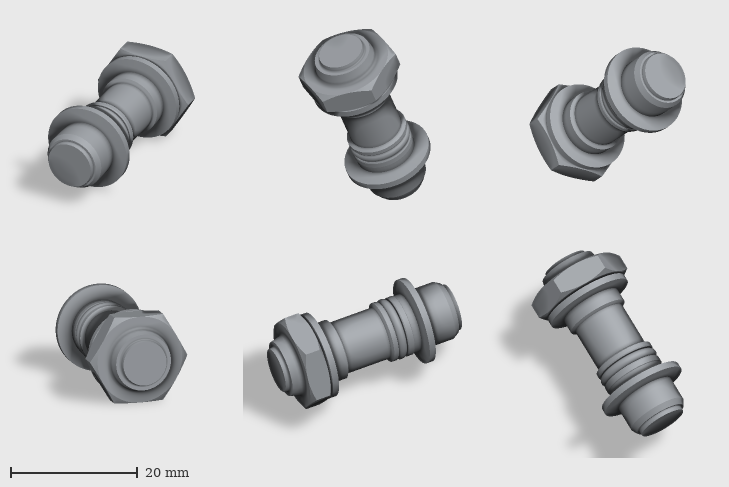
import cadquery as cq
import math


across_flats = 14.0
nut_bottom = 24.22
nut_top = 27.82
nut_chamfer_angle = 30.0

flange_radius = across_flats / 2
flange_rim_width = 1.05
tail_flange_bottom = 5.58
tail_flange_cone_height = 0.43
washer_cone_height = 0.37
washer_bottom = nut_bottom - flange_rim_width - 2 * washer_cone_height

tail_radius = 4.8
tail_nose_end_radius = 3.78
tail_nose_base_radius = 3.9
tail_nose_height = 0.73
tail_chamfer_width = 0.52
tail_chamfer_height = 0.9

collar_radius = 4.9
neck_radius = 4.27
neck_bottom = 12.6
neck_top = 19.9
neck_chamfer_height = 0.37
collar_bottom = 8.63
collar_step_height = 0.1

ring_radius = 5.0
ring_section_radius = 0.75
ring_center = 10.58
groove_width = 1.65
groove_radius = 3.57
groove_edge_width = 0.18
groove_edge_depth = 0.1
groove_bottom = ring_center - groove_width / 2
groove_top = ring_center + groove_width / 2

head_face = 30.5
head_step = 29.75
head_cone_radius = 4.55
head_cone_angle = 14.0
head_fillet = 0.5
head_nose_radius = 3.57
head_nose_angle = 11.0
head_nose_fillet = 0.25


def fillet_foot(top_radius, top, base, angle_degrees, fillet):
    """Start, middle and end of the arc joining a downward widening cone to a flat base."""
    angle = math.radians(angle_degrees)
    start_y = base + fillet * (1 - math.sin(angle))
    start_radius = top_radius + (top - start_y) * math.tan(angle)
    center_radius = start_radius + fillet * math.cos(angle)
    center_y = base + fillet
    middle_angle = math.pi / 4 + angle / 2
    middle = (
        center_radius - fillet * math.cos(middle_angle),
        center_y - fillet * math.sin(middle_angle),
    )
    return (start_radius, start_y), middle, (center_radius, base)


def revolve_about_y(outline):
    return outline.close().revolve(360, (0, 0, 0), (0, 1, 0))


def make_shank():
    groove_edge_radius = collar_radius - groove_edge_depth
    outline = cq.Workplane("XY").polyline([
        (0, 0),
        (tail_nose_end_radius, 0),
        (tail_nose_base_radius, tail_nose_height),
        (tail_radius - tail_chamfer_width, tail_nose_height),
        (tail_radius, tail_nose_height + tail_chamfer_height),
        (tail_radius, collar_bottom),
        (collar_radius, collar_bottom + collar_step_height),
        (collar_radius, groove_bottom - groove_edge_width),
        (groove_edge_radius, groove_bottom),
        (groove_radius, groove_bottom),
        (groove_radius, groove_top),
        (groove_edge_radius, groove_top),
        (collar_radius, groove_top + groove_edge_width),
        (collar_radius, neck_bottom - neck_chamfer_height),
        (neck_radius, neck_bottom),
        (neck_radius, neck_top),
        (collar_radius, neck_top + neck_chamfer_height),
        (collar_radius, nut_bottom),
        (0, nut_bottom),
    ])
    return revolve_about_y(outline)


def make_flange(bottom, core_radius, cone_height):
    top = bottom + flange_rim_width + 2 * cone_height
    outline = cq.Workplane("XY").polyline([
        (0, bottom),
        (core_radius, bottom),
        (flange_radius, bottom + cone_height),
        (flange_radius, top - cone_height),
        (core_radius, top),
        (0, top),
    ])
    return revolve_about_y(outline)


def make_ring():
    """The part of the sealing ring that stands out of the groove floor."""
    section_center_radius = ring_radius - ring_section_radius
    half_chord = math.sqrt(ring_section_radius**2 - (section_center_radius - groove_radius) ** 2)
    outline = (
        cq.Workplane("XY")
        .moveTo(0, ring_center - half_chord)
        .lineTo(groove_radius, ring_center - half_chord)
        .threePointArc((ring_radius, ring_center), (groove_radius, ring_center + half_chord))
        .lineTo(0, ring_center + half_chord)
    )
    return revolve_about_y(outline)


def make_nut():
    flat_radius = across_flats / 2
    corner_radius = flat_radius / math.cos(math.pi / 6)
    chamfer_height = (corner_radius - flat_radius) * math.tan(math.radians(nut_chamfer_angle))
    prism = (
        cq.Workplane("XZ", origin=(0, nut_top, 0))
        .polygon(6, 2 * corner_radius)
        .extrude(nut_top - nut_bottom)
    )
    envelope = cq.Workplane("XY").polyline([
        (0, nut_bottom),
        (flat_radius, nut_bottom),
        (corner_radius, nut_bottom + chamfer_height),
        (corner_radius, nut_top - chamfer_height),
        (flat_radius, nut_top),
        (0, nut_top),
    ])
    return prism.intersect(revolve_about_y(envelope))


def make_head():
    nose_start, nose_middle, nose_end = fillet_foot(
        head_nose_radius, head_face, head_step, head_nose_angle, head_nose_fillet
    )
    cone_start, cone_middle, cone_end = fillet_foot(
        head_cone_radius, head_step, nut_top, head_cone_angle, head_fillet
    )
    outline = (
        cq.Workplane("XY")
        .moveTo(0, head_face)
        .lineTo(head_nose_radius, head_face)
        .lineTo(*nose_start)
        .threePointArc(nose_middle, nose_end)
        .lineTo(head_cone_radius, head_step)
        .lineTo(*cone_start)
        .threePointArc(cone_middle, cone_end)
        .lineTo(0, nut_top)
    )
    return revolve_about_y(outline)


result = (
    make_shank()
    .union(make_ring())
    .union(make_flange(tail_flange_bottom, tail_radius, tail_flange_cone_height))
    .union(make_flange(washer_bottom, collar_radius, washer_cone_height))
    .union(make_nut())
    .union(make_head())
)